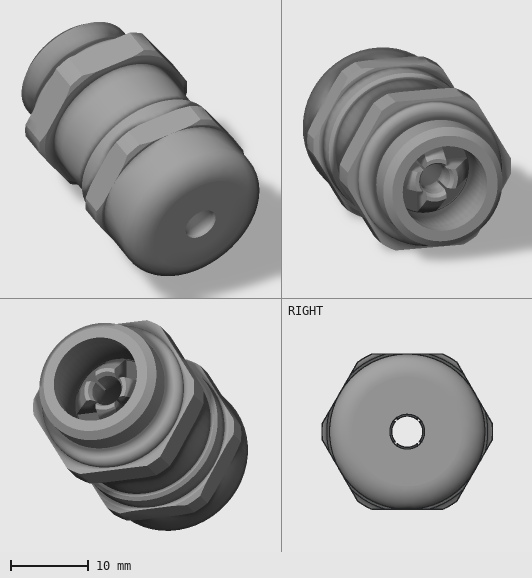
import cadquery as cq
import math

LENGTH = 33.0

THREAD_DIA = 16.0
UNDERCUT_DIA = 14.15
THREAD_CHAMFER = (THREAD_DIA - UNDERCUT_DIA) / 2
THREAD_END = 5.05

SEAL_DIA = 19.2
SEAL_START = 5.68
SEAL_ROUND = 1.0

FLATS = 20.0
CORNER_DIA = 21.98
HEX_CHAMFER_LENGTH = 0.33
HEX_CHAMFER_DEPTH = 0.63
BODY_HEX_START = 7.0
BODY_HEX_END = 11.0
CAP_HEX_START = 22.05
CAP_HEX_END = 25.5

BODY_DIA = 18.0
COLLAR_DIA = 19.6
COLLAR_START = 19.05
COLLAR_CHAMFER = 0.43
CAP_DIA = FLATS
CAP_ROUND = 2.95

BORE_DIA = 11.35
WALL_START = 8.25
CABLE_HOLE_DIA = 4.5

FINGER_WIDTH = 2.6
FINGER_START = 3.75
FINGER_TIP_DIA = 5.7
FINGER_RIM_DIA = 11.02
FINGER_MOUTH_DIA = 4.7
FINGER_HOLE_DIA = 4.0
FINGER_MOUTH_DEPTH = 0.65


def turned(points):
    """Revolve a closed (x, radius) outline about the X axis."""
    return cq.Workplane("XY").polyline(points).close().revolve(360, (0, 0, 0), (1, 0, 0))


def cylinder(diameter, start, end):
    return cq.Workplane("YZ", origin=(start, 0, 0)).circle(diameter / 2).extrude(end - start)


def threaded_end():
    thread_r = THREAD_DIA / 2
    undercut_r = UNDERCUT_DIA / 2
    return turned([
        (0, 0),
        (0, undercut_r),
        (THREAD_CHAMFER, thread_r),
        (THREAD_END - THREAD_CHAMFER, thread_r),
        (THREAD_END, undercut_r),
        (SEAL_START, undercut_r),
        (SEAL_START, 0),
    ])


def hexagon(start, end, chamfer_start):
    """Hexagon with flats facing +Z and -Z, its corners turned and chamfered."""
    across_corners = FLATS / math.cos(math.pi / 6)
    prism = cq.Workplane("YZ", origin=(start, 0, 0)).polygon(6, across_corners).extrude(end - start)
    blank_r = CORNER_DIA / 2
    face_r = blank_r - HEX_CHAMFER_DEPTH
    outline = [(start, 0)]
    if chamfer_start:
        outline += [(start, face_r), (start + HEX_CHAMFER_LENGTH, blank_r)]
    else:
        outline += [(start, blank_r)]
    outline += [(end - HEX_CHAMFER_LENGTH, blank_r), (end, face_r), (end, 0)]
    return prism.intersect(turned(outline))


def fingers():
    """Hollow cone cut down to four separate fingers and a thin rim at their roots."""
    cone = turned([
        (FINGER_START, FINGER_MOUTH_DIA / 2),
        (FINGER_START, FINGER_TIP_DIA / 2),
        (WALL_START, BORE_DIA / 2),
        (WALL_START, FINGER_HOLE_DIA / 2),
        (FINGER_START + FINGER_MOUTH_DEPTH, FINGER_HOLE_DIA / 2),
    ])
    depth = WALL_START - FINGER_START
    arms = cq.Workplane("YZ", origin=(FINGER_START, 0, 0))
    cross = arms.rect(BORE_DIA, FINGER_WIDTH).extrude(depth)
    cross = cross.union(arms.rect(FINGER_WIDTH, BORE_DIA).extrude(depth))
    rim = arms.circle(BORE_DIA / 2).circle(FINGER_RIM_DIA / 2).extrude(depth)
    return cone.intersect(cross.union(rim))


seal = cylinder(SEAL_DIA, SEAL_START, BODY_HEX_START).faces("<X").edges().fillet(SEAL_ROUND)
tube = cylinder(BODY_DIA, BODY_HEX_END, COLLAR_START)
collar = cylinder(COLLAR_DIA, COLLAR_START, CAP_HEX_START).faces("<X").edges().chamfer(COLLAR_CHAMFER)
cap = cylinder(CAP_DIA, CAP_HEX_END, LENGTH).faces(">X").edges().fillet(CAP_ROUND)

result = (
    threaded_end()
    .union(seal)
    .union(hexagon(BODY_HEX_START, BODY_HEX_END, chamfer_start=False))
    .union(tube)
    .union(collar)
    .union(hexagon(CAP_HEX_START, CAP_HEX_END, chamfer_start=True))
    .union(cap)
    .cut(cylinder(BORE_DIA, 0, WALL_START))
    .cut(cylinder(CABLE_HOLE_DIA, WALL_START, LENGTH))
    .union(fingers())
)